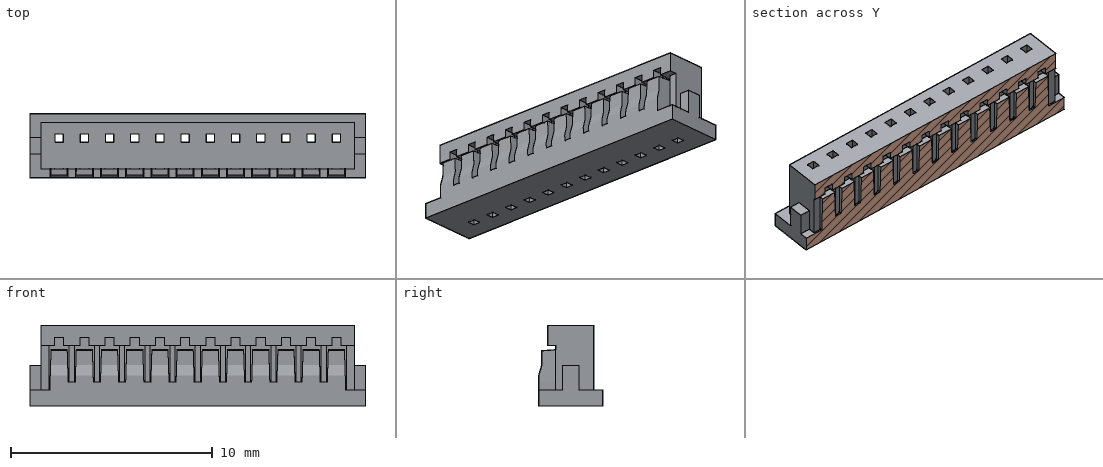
import cadquery as cq

LENGTH = 16.65
DEPTH = 3.2
BASE_HEIGHT = 0.8

HEIGHT = 4.0
END_STEP = 0.55
BODY_BACK = 2.75
LIP_FRONT = 0.45
LIP_BOTTOM = 3.0
WALL_FRONT = 0.85

TAB_FRONT = 1.2
TAB_BACK = 2.0
TAB_TOP = 2.01

POSITIONS = 12
ROW_SPAN = 13.75
PITCH = ROW_SPAN / (POSITIONS - 1)
FIRST_X = -ROW_SPAN / 2
CONTACT_XS = [FIRST_X + i * PITCH for i in range(POSITIONS)]

HOLE_SIZE = 0.4
HOLE_Y = 1.98

POCKET_WIDTH = 1.0
POCKET_BACK = 1.12
NOTCH_WIDTH = 0.45
NOTCH_TOP = 3.4

SILL_TOP = 1.2
FINGER_TOP = 2.8
FINGER_FRONT_TOP = 2.75
FINGER_TOP_WIDTH = 0.8
FINGER_ROOT_WIDTH = 0.9
FINGER_FACE_Y = 0.15
SLOPE_BOTTOM = 1.5
SLOPE_TOP = 2.01


def block(x_min, x_max, y_min, y_max, z_min, z_max):
    """Axis-aligned box between the given limits."""
    size = (x_max - x_min, y_max - y_min, z_max - z_min)
    return cq.Workplane("XY").box(*size, centered=False).translate((x_min, y_min, z_min))


def centred_block(x, width, y_min, y_max, z_min, z_max):
    """Box centred on x, with the given width."""
    return block(x - width / 2, x + width / 2, y_min, y_max, z_min, z_max)


def make_housing():
    """Flange, lipped upper housing and the two end tabs."""
    body_length = LENGTH - 2 * END_STEP
    base = centred_block(0, LENGTH, 0, DEPTH, 0, BASE_HEIGHT)
    wall = centred_block(0, body_length, WALL_FRONT, BODY_BACK, BASE_HEIGHT, HEIGHT)
    lip = centred_block(0, body_length, LIP_FRONT, WALL_FRONT, LIP_BOTTOM, HEIGHT)
    tabs = centred_block(0, LENGTH, TAB_FRONT, TAB_BACK, BASE_HEIGHT, TAB_TOP)
    return base.union(wall).union(lip).union(tabs)


def make_pocket(x):
    """Pocket in the front wall, with the notch that rises through the lip."""
    pocket = centred_block(x, POCKET_WIDTH, WALL_FRONT, POCKET_BACK, BASE_HEIGHT, LIP_BOTTOM)
    notch = centred_block(x, NOTCH_WIDTH, LIP_FRONT, POCKET_BACK, LIP_BOTTOM, NOTCH_TOP)
    return pocket.union(notch)


def make_finger(x):
    """Finger with a sloped front, trimmed to its tapered width."""
    side_profile = [
        (0, SILL_TOP),
        (0, SLOPE_BOTTOM),
        (FINGER_FACE_Y, SLOPE_TOP),
        (FINGER_FACE_Y, FINGER_FRONT_TOP),
        (WALL_FRONT, FINGER_TOP),
        (POCKET_BACK, FINGER_TOP),
        (POCKET_BACK, SILL_TOP),
    ]
    front_profile = [
        (x - FINGER_ROOT_WIDTH / 2, SILL_TOP),
        (x + FINGER_ROOT_WIDTH / 2, SILL_TOP),
        (x + FINGER_TOP_WIDTH / 2, FINGER_TOP),
        (x - FINGER_TOP_WIDTH / 2, FINGER_TOP),
    ]
    side = cq.Workplane("YZ").polyline(side_profile).close()
    front = cq.Workplane("XZ").polyline(front_profile).close()
    return side.extrude(LENGTH / 2, both=True).intersect(front.extrude(-DEPTH))


def make_sill():
    """Bar joining the roots of all fingers."""
    sill_length = CONTACT_XS[-1] - CONTACT_XS[0] + FINGER_ROOT_WIDTH
    return centred_block(0, sill_length, 0, POCKET_BACK, BASE_HEIGHT, SILL_TOP)


def make_hole(x):
    """Square passage through the full height."""
    return centred_block(x, HOLE_SIZE, HOLE_Y - HOLE_SIZE / 2, HOLE_Y + HOLE_SIZE / 2, 0, HEIGHT)


result = make_housing()
for contact_x in CONTACT_XS:
    result = result.cut(make_pocket(contact_x))
result = result.union(make_sill())
for contact_x in CONTACT_XS:
    result = result.union(make_finger(contact_x))
    result = result.cut(make_hole(contact_x))